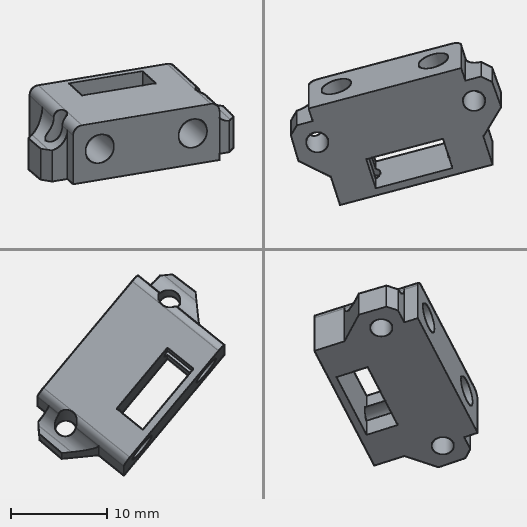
import cadquery as cq

body_width = 11.58
body_length = 16.5
body_height = 6.5
top_round = 0.99

overall_length = 21.93
ear_top = 3.5
ear_left = -2.41
ear_right = 4.28
ear_chamfer = 0.92
ear_edge_drop = 0.09
ear_projection = (overall_length - body_length) / 2
blend_radius = body_height - top_round - ear_top

screw_diameter = 2.3
screw_x = 1.8
screw_y = 8.46
cross_hole_diameter = 3.2
cross_hole_y = 5.25
cross_hole_z = 3.5
window_width = 3.49
window_length = 8.3
window_wall = 0.81


def make_body():
    block = cq.Workplane("XY").box(
        body_width, body_length, body_height, centered=(True, True, False)
    )
    return block.edges("|X and >Z").fillet(top_round)


def make_ear():
    """Ear at the +Y end: plan outline trimmed by a side profile with a concave blend."""
    root_y = body_length / 2
    tip_y = overall_length / 2
    inner_y = root_y - top_round
    sloped_y = tip_y - ear_edge_drop
    plan = (
        cq.Workplane("XY")
        .moveTo(ear_left, inner_y)
        .lineTo(ear_left, root_y)
        .lineTo(ear_left + ear_projection, tip_y)
        .lineTo(ear_right - ear_chamfer, sloped_y)
        .lineTo(ear_right, sloped_y - ear_chamfer)
        .lineTo(ear_right, inner_y)
        .close()
        .extrude(body_height)
    )
    blend_top = ear_top + blend_radius
    profile = (
        cq.Workplane("YZ")
        .moveTo(inner_y, 0)
        .lineTo(tip_y, 0)
        .lineTo(tip_y, ear_top)
        .lineTo(root_y + blend_radius, ear_top)
        .radiusArc((root_y, blend_top), blend_radius)
        .lineTo(inner_y, blend_top)
        .close()
        .extrude(body_width / 2, both=True)
    )
    return plan.intersect(profile)


def make_screw_holes():
    centers = [(screw_x, -screw_y), (screw_x, screw_y)]
    return cq.Workplane("XY").pushPoints(centers).circle(screw_diameter / 2).extrude(body_height)


def make_cross_holes():
    centers = [(-cross_hole_y, cross_hole_z), (cross_hole_y, cross_hole_z)]
    holes = cq.Workplane("YZ").pushPoints(centers).circle(cross_hole_diameter / 2)
    return holes.extrude(body_width / 2, both=True)


def make_window():
    window_x = (window_wall + window_width / 2) - body_width / 2
    window = cq.Workplane("XY").center(window_x, 0).rect(window_width, window_length)
    return window.extrude(body_height)


ear = make_ear()
result = make_body().union(ear).union(ear.mirror("XZ"))
result = result.cut(make_screw_holes()).cut(make_cross_holes()).cut(make_window())